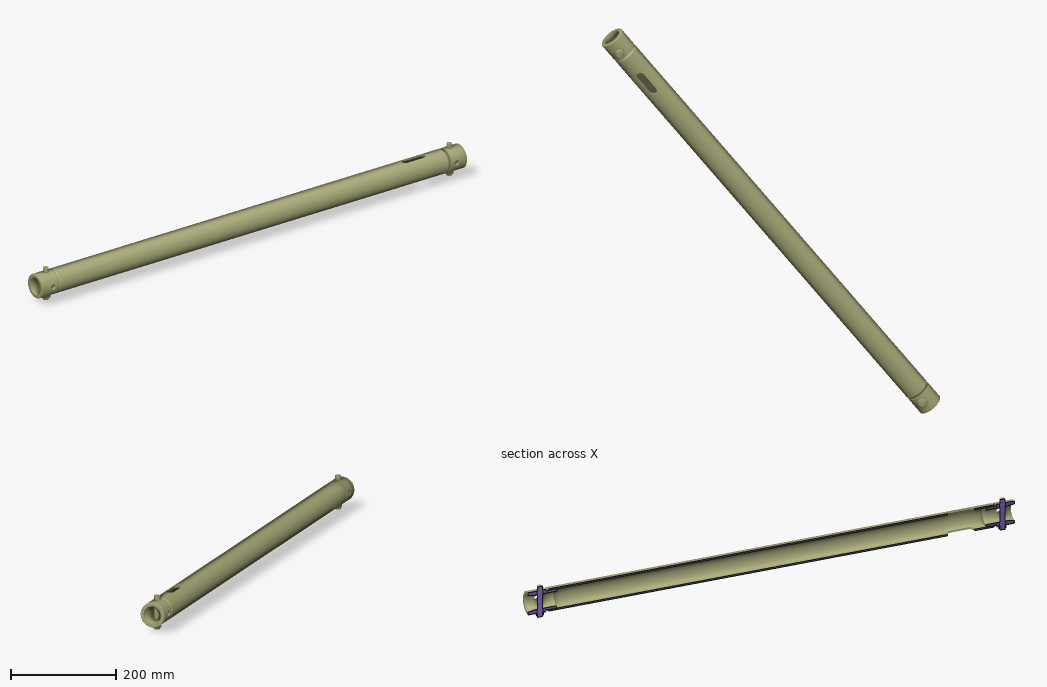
import cadquery as cq
import math

outer_diameter = 48.3
overall_length = 999.0
outer_radius = outer_diameter / 2
half_length = overall_length / 2
end_signs = (-1, 1)

sleeve_length = 37.5
sleeve_edge_chamfer = 1.0
sleeve_bore = 30.0
mouth_diameter = 35.0
mouth_depth = 15.0
spigot_reach = 20.0

weld_gap = 2.0
tube_bore = 40.3
bevel_length = 4.0
bevel_depth = 3.0
tube_length = overall_length - 2 * (sleeve_length + weld_gap)

slot_length = 54.0
slot_width = 15.0
slot_center_from_end = 110.0

bolt_diameter = 11.0
bolt_length = 66.0
bolt_bottom = -33.15
bolt_from_end = 25.0

nut_across_flats = 15.0
nut_across_corners = nut_across_flats / math.cos(math.pi / 6)
nut_face_diameter = 13.5
nut_chamfer_angle = 30.0
nut_height = 6.2
nut_top = -outer_radius


def revolve_about_y(profile):
    """Turn a closed outline of (Y position, radius) points around the Y axis."""
    outline = cq.Workplane("YZ").polyline(profile).close()
    return outline.revolve(360, (0, 0, 0), (1, 0, 0))


def bolt_position(end_sign):
    return end_sign * (half_length - bolt_from_end)


def make_tube():
    half_tube = tube_length / 2
    bore_radius = tube_bore / 2
    bevel_radius = outer_radius - bevel_depth
    tube = revolve_about_y([
        (-half_tube, bore_radius),
        (-half_tube, bevel_radius),
        (bevel_length - half_tube, outer_radius),
        (half_tube - bevel_length, outer_radius),
        (half_tube, bevel_radius),
        (half_tube, bore_radius),
    ])
    slot = (
        cq.Workplane("XY", origin=(0, half_length - slot_center_from_end, 0))
        .slot2D(slot_length, slot_width, 90)
        .extrude(outer_radius, both=True)
    )
    return tube.cut(slot)


def make_sleeve(end_sign):
    shoulder = half_length - sleeve_length
    spigot_end = shoulder - weld_gap - spigot_reach
    spigot_radius = tube_bore / 2
    bore_radius = sleeve_bore / 2
    profile = [
        (half_length, mouth_diameter / 2),
        (half_length, outer_radius - sleeve_edge_chamfer),
        (half_length - sleeve_edge_chamfer, outer_radius),
        (shoulder, outer_radius),
        (shoulder, spigot_radius),
        (spigot_end, spigot_radius),
        (spigot_end, bore_radius),
        (half_length - mouth_depth, bore_radius),
    ]
    sleeve = revolve_about_y([(end_sign * y, radius) for y, radius in profile])

    for plane in ("XY", "YZ"):
        hole = (
            cq.Workplane(plane, origin=(0, bolt_position(end_sign), 0))
            .circle(bolt_diameter / 2)
            .extrude(outer_radius, both=True)
        )
        sleeve = sleeve.cut(hole)
    return sleeve


def make_bolt(end_sign):
    shank = cq.Workplane("XY", origin=(0, bolt_position(end_sign), bolt_bottom))
    return shank.circle(bolt_diameter / 2).extrude(bolt_length)


def make_nut(end_sign):
    nut_y = bolt_position(end_sign)
    nut_middle = nut_top - nut_height / 2
    nut = (
        cq.Workplane("XY", origin=(0, nut_y, nut_top - nut_height))
        .polygon(6, nut_across_corners)
        .circle(bolt_diameter / 2)
        .extrude(nut_height)
    )

    face_radius = nut_face_diameter / 2
    cone_rise = nut_height / 2
    cone_radius = face_radius + cone_rise / math.tan(math.radians(nut_chamfer_angle))
    double_cone = (
        cq.Workplane("XZ", origin=(0, nut_y, nut_middle))
        .moveTo(0, -cone_rise)
        .lineTo(face_radius, -cone_rise)
        .lineTo(cone_radius, 0)
        .lineTo(face_radius, cone_rise)
        .lineTo(0, cone_rise)
        .close()
        .revolve(360, (0, 0, 0), (0, 1, 0))
    )
    return nut.intersect(double_cone)


tube = make_tube()
sleeves = [make_sleeve(end_sign) for end_sign in end_signs]
bolts = [make_bolt(end_sign) for end_sign in end_signs]
nuts = [make_nut(end_sign) for end_sign in end_signs]

bodies = [tube, *sleeves, *bolts, *nuts]
result = cq.Compound.makeCompound([body.val() for body in bodies])